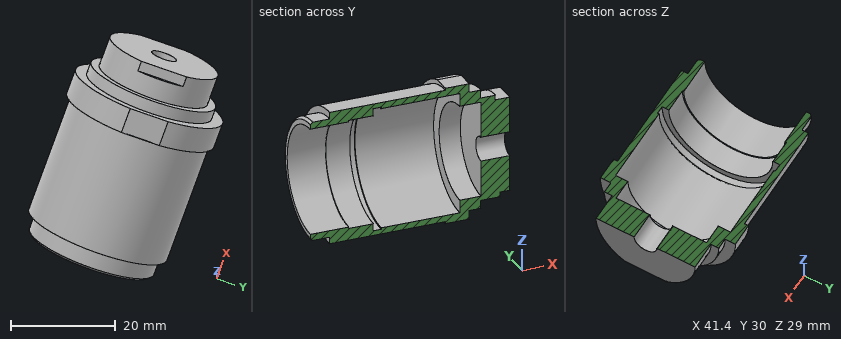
import cadquery as cq

TOTAL_LENGTH = 41.4

SPIGOT_DIAMETER = 25.4
SPIGOT_END = 4.0
SPIGOT_CHAMFER = 0.5
BARREL_DIAMETER = 28.2
BARREL_END = 28.0
FLANGE_DIAMETER = 30.0
FLANGE_END = 33.0
COLLAR_DIAMETER = 25.4
COLLAR_END = 35.4
NOSE_DIAMETER = 22.0

FLANGE_ACROSS_FLATS = 29.0
NOSE_ACROSS_FLATS = 20.0
UPPER_NOSE_FLAT_LENGTH = 3.0
LOWER_NOSE_FLAT_LENGTH = 2.0

MOUTH_DIAMETER = 22.4
MOUTH_END = 8.0
GUIDE_DIAMETER = 23.0
GUIDE_END = 13.1
GROOVE_DIAMETER = 26.0
GROOVE_END = 14.7
CHAMBER_DIAMETER = 25.4
CHAMBER_END = 31.0
POCKET_DIAMETER = 20.0
POCKET_END = 35.4
THROUGH_HOLE_DIAMETER = 5.0


def cylinder(diameter, start, end):
    """Round section on the X axis between two stations."""
    return cq.Workplane("YZ", origin=(start, 0, 0)).circle(diameter / 2).extrude(end - start)


def slab(across_flats, start, end):
    """Block between two stations that leaves parallel flats at top and bottom."""
    length = end - start
    return cq.Workplane("XY", origin=(start + length / 2, 0, 0)).box(length, FLANGE_DIAMETER, across_flats)


def nose_flat_cutter(length, side):
    """Block that cuts one flat at the nose tip; side is +1 for the top, -1 for the bottom."""
    height = (FLANGE_DIAMETER - NOSE_ACROSS_FLATS) / 2
    centre_z = side * (NOSE_ACROSS_FLATS + height) / 2
    centre_x = TOTAL_LENGTH - length / 2
    workplane = cq.Workplane("XY", origin=(centre_x, 0, centre_z))
    return workplane.box(length, FLANGE_DIAMETER, height)


def outer_body():
    spigot = cylinder(SPIGOT_DIAMETER, 0, SPIGOT_END).faces("<X").chamfer(SPIGOT_CHAMFER)
    barrel = cylinder(BARREL_DIAMETER, SPIGOT_END, BARREL_END)
    flange = cylinder(FLANGE_DIAMETER, BARREL_END, FLANGE_END).intersect(
        slab(FLANGE_ACROSS_FLATS, BARREL_END, FLANGE_END)
    )
    collar = cylinder(COLLAR_DIAMETER, FLANGE_END, COLLAR_END)
    nose = cylinder(NOSE_DIAMETER, COLLAR_END, TOTAL_LENGTH)
    nose = nose.cut(nose_flat_cutter(UPPER_NOSE_FLAT_LENGTH, 1))
    nose = nose.cut(nose_flat_cutter(LOWER_NOSE_FLAT_LENGTH, -1))
    return spigot.union(barrel).union(flange).union(collar).union(nose)


def bore():
    mouth = cylinder(MOUTH_DIAMETER, 0, MOUTH_END)
    guide = cylinder(GUIDE_DIAMETER, MOUTH_END, GUIDE_END)
    groove = cylinder(GROOVE_DIAMETER, GUIDE_END, GROOVE_END)
    chamber = cylinder(CHAMBER_DIAMETER, GROOVE_END, CHAMBER_END)
    pocket = cylinder(POCKET_DIAMETER, CHAMBER_END, POCKET_END)
    through_hole = cylinder(THROUGH_HOLE_DIAMETER, POCKET_END, TOTAL_LENGTH)
    return mouth.union(guide).union(groove).union(chamber).union(pocket).union(through_hole)


result = outer_body().cut(bore())